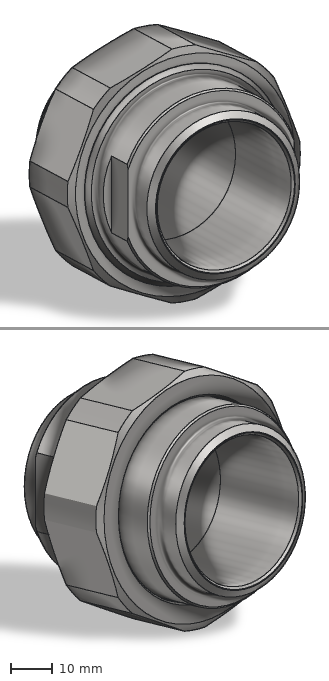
import cadquery as cq
import math


total_length = 56.0
bore_diameter = 37.2
spigot_radius = 42.4 / 2
body_radius = 50.0 / 2
spigot_chamfer_length = 1.05
spigot_chamfer_depth = 1.8
mouth_chamfer = 0.6
body_chamfer = 0.45

nut_start = 16.5
nut_end = 36.55
nut_corner_diameter = 64.7
nut_across_flats = 61.95
nut_sides = 8
nut_face_radius = 30.45
nut_chamfer_left = 0.85
nut_chamfer_right = 0.7
lip_bore_radius = 50.5 / 2
lip_bore_chamfer = 0.5
lip_thickness = 4.2

tail_shoulder = 6.6
tail_fillet = 1.05
flange_length = 7.75

thread_radius = 55.8 / 2
thread_end = 37.6
thread_chamfer = 1.2
thread_fillet = 0.8
threaded_shoulder = 49.0
threaded_shoulder_fillet = 0.8

wrench_flat_offset = 23.0
wrench_flat_start = 41.1
wrench_flat_end_lean = 0.65

flange_start = nut_start + lip_thickness
joint = flange_start + flange_length
spigot_tip_radius = spigot_radius - spigot_chamfer_depth
nut_length = nut_end - nut_start


def revolve_x(profile):
    """Revolve a closed profile of (x, radius) points about the X axis."""
    return profile.close().revolve(360, (0, 0, 0), (1, 0, 0))


def concave_fillet(profile, end, corner):
    """Draw a quarter arc to `end`, hollowed towards the sharp inner `corner`."""
    start = profile.val().endPoint()
    radius = abs(end[0] - start.x)
    center = (start.x + end[0] - corner[0], start.y + end[1] - corner[1])
    toward_corner = (corner[0] - center[0], corner[1] - center[1])
    reach = radius / math.hypot(*toward_corner)
    middle = (center[0] + toward_corner[0] * reach, center[1] + toward_corner[1] * reach)
    return profile.threePointArc(middle, end)


def cut_bore(body, mouth_x, inward):
    """Cut the through bore and the chamfer at its mouth; `inward` is +1 or -1 along X."""
    bore_radius = bore_diameter / 2
    bore = cq.Workplane("YZ").circle(bore_radius).extrude(total_length)
    mouth = revolve_x(
        cq.Workplane("XY")
        .moveTo(mouth_x, 0)
        .lineTo(mouth_x, bore_radius + mouth_chamfer)
        .lineTo(mouth_x + inward * mouth_chamfer, bore_radius)
        .lineTo(mouth_x + inward * mouth_chamfer, 0)
    )
    return body.cut(bore).cut(mouth)


def make_tail_piece():
    profile = (
        cq.Workplane("XY")
        .moveTo(0, 0)
        .lineTo(0, spigot_tip_radius)
        .lineTo(spigot_chamfer_length, spigot_radius)
        .lineTo(tail_shoulder - tail_fillet, spigot_radius)
    )
    profile = concave_fillet(
        profile, (tail_shoulder, spigot_radius + tail_fillet), (tail_shoulder, spigot_radius)
    )
    profile = (
        profile.lineTo(tail_shoulder, body_radius - body_chamfer)
        .lineTo(tail_shoulder + body_chamfer, body_radius)
        .lineTo(flange_start, body_radius)
        .lineTo(flange_start, thread_radius)
        .lineTo(joint, thread_radius)
        .lineTo(joint, 0)
    )
    return cut_bore(revolve_x(profile), 0, 1)


def make_wrench_flat_cutter():
    """Material outside the flat on the +Y side; its inner end wall leans outwards."""
    overshoot = body_radius - wrench_flat_offset
    return (
        cq.Workplane("XY")
        .moveTo(wrench_flat_start, wrench_flat_offset)
        .lineTo(threaded_shoulder, wrench_flat_offset)
        .lineTo(threaded_shoulder, body_radius + overshoot)
        .lineTo(wrench_flat_start - 2 * wrench_flat_end_lean, body_radius + overshoot)
        .close()
        .extrude(body_radius, both=True)
    )


def make_threaded_piece():
    thread_tip_radius = thread_radius - thread_chamfer
    profile = (
        cq.Workplane("XY")
        .moveTo(joint, 0)
        .lineTo(joint, thread_radius)
        .lineTo(thread_end - thread_chamfer, thread_radius)
        .lineTo(thread_end, thread_tip_radius)
        .lineTo(thread_end, body_radius + thread_fillet)
    )
    profile = concave_fillet(profile, (thread_end + thread_fillet, body_radius), (thread_end, body_radius))
    profile = (
        profile.lineTo(threaded_shoulder - body_chamfer, body_radius)
        .lineTo(threaded_shoulder, body_radius - body_chamfer)
        .lineTo(threaded_shoulder, spigot_radius + threaded_shoulder_fillet)
    )
    profile = concave_fillet(
        profile,
        (threaded_shoulder + threaded_shoulder_fillet, spigot_radius),
        (threaded_shoulder, spigot_radius),
    )
    profile = (
        profile.lineTo(total_length - spigot_chamfer_length, spigot_radius)
        .lineTo(total_length, spigot_tip_radius)
        .lineTo(total_length, 0)
    )
    body = revolve_x(profile)
    flat_cutter = make_wrench_flat_cutter()
    body = body.cut(flat_cutter).cut(flat_cutter.mirror("XZ"))
    return cut_bore(body, total_length, -1)


def make_nut():
    octagon = (
        cq.Workplane("YZ", origin=(nut_start, 0, 0))
        .polygon(nut_sides, nut_across_flats / math.cos(math.pi / nut_sides))
        .extrude(nut_length)
    )
    corner_radius = nut_corner_diameter / 2
    turned_blank = revolve_x(
        cq.Workplane("XY")
        .moveTo(nut_start, 0)
        .lineTo(nut_start, nut_face_radius)
        .lineTo(nut_start + nut_chamfer_left, corner_radius)
        .lineTo(nut_end - nut_chamfer_right, corner_radius)
        .lineTo(nut_end, nut_face_radius)
        .lineTo(nut_end, 0)
    )
    opening = revolve_x(
        cq.Workplane("XY")
        .moveTo(nut_start, 0)
        .lineTo(nut_start, lip_bore_radius + lip_bore_chamfer)
        .lineTo(nut_start + lip_bore_chamfer, lip_bore_radius)
        .lineTo(flange_start, lip_bore_radius)
        .lineTo(flange_start, thread_radius)
        .lineTo(nut_end, thread_radius)
        .lineTo(nut_end, 0)
    )
    return octagon.intersect(turned_blank).cut(opening)


tail_piece = make_tail_piece()
threaded_piece = make_threaded_piece()
nut = make_nut()

result = cq.Compound.makeCompound([tail_piece.val(), threaded_piece.val(), nut.val()])